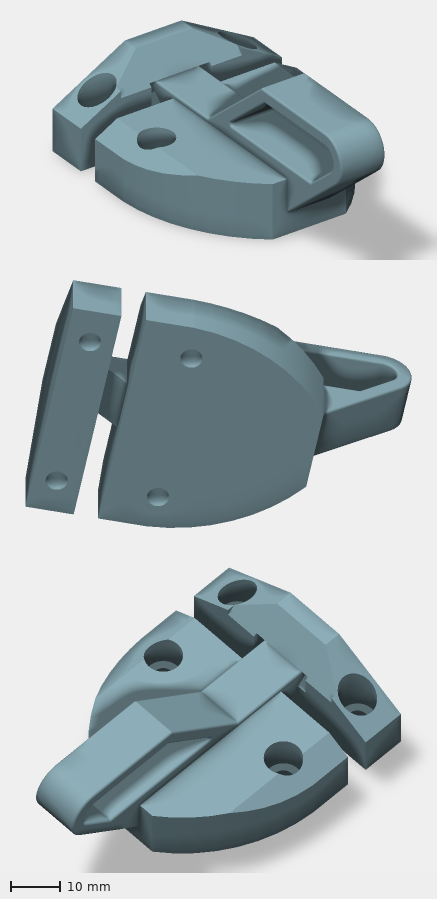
import cadquery as cq
import math


half_width = 25.0
side_height = 10.0
keeper_height = 20.0
keeper_top_half = 7.0
base_height = 13.0
hole_diameter = 4.5
counterbore_diameter = 8.0
counterbore_floor = 5.0
hole_y = 17.5

keeper_length = 10.0
keeper_hole_x = keeper_length / 2
bevel_start = 3.85
bevel_half_width = 15.0
pocket_half_width = 7.5
pocket_clearance = 0.5

base_start = 15.0
base_end = 55.0
base_hole_x = 26.0
arc_start = 25.0
arc_radius = 40.0
end_half_width = 9.1

overall_length = 74.0
overall_height = 30.0
latch_width = 11.0
latch_floor = counterbore_floor
deck_height = 14.0
ramp_start = 27.0
end_radius = 6.0
wall = 3.0
window_floor = 16.0
edge_radius = 0.5
position_tolerance = 0.1

end_center_x = overall_length - end_radius
end_center_z = overall_height - end_radius
rise = end_center_z - latch_floor
run = end_center_x - base_end
slope = math.atan2(rise, run) - math.asin(end_radius / math.hypot(rise, run))
ramp_end = ramp_start + (overall_height - deck_height) / math.tan(slope)

tongue_tip = base_start - (deck_height - latch_floor)


def ridge_block(x_start, x_end, height):
    """Straight block with the common cross-section: vertical sides, sloped shoulders, flat top."""
    shoulder_slope = (keeper_height - side_height) / (half_width - keeper_top_half)
    top_half = half_width - (height - side_height) / shoulder_slope
    return (
        cq.Workplane("YZ", origin=(x_start, 0, 0))
        .moveTo(-half_width, 0)
        .lineTo(half_width, 0)
        .lineTo(half_width, side_height)
        .lineTo(top_half, height)
        .lineTo(-top_half, height)
        .lineTo(-half_width, side_height)
        .close()
        .extrude(x_end - x_start)
    )


def box_between(x_start, x_end, half_y, z_start, z_end):
    """Box symmetric about Y = 0."""
    size = (x_end - x_start, 2 * half_y, z_end - z_start)
    return cq.Workplane("XY", origin=(x_start, 0, z_start)).box(*size, centered=(False, True, False))


def screw_holes(x):
    """Cutters for the pair of counterbored screw holes at one X position."""
    places = [(x, -hole_y), (x, hole_y)]
    shafts = cq.Workplane("XY").pushPoints(places).circle(hole_diameter / 2).extrude(keeper_height)
    heads = (
        cq.Workplane("XY", origin=(0, 0, counterbore_floor))
        .pushPoints(places)
        .circle(counterbore_diameter / 2)
        .extrude(keeper_height)
    )
    return shafts.union(heads)


def side_profile(half_y):
    """Workplane for an XZ outline to be extruded by 2 * half_y, symmetric about Y = 0."""
    return cq.Workplane("XZ", origin=(0, half_y, 0))


def make_keeper():
    block = ridge_block(0, keeper_length, keeper_height)
    bevel_drop = keeper_length - bevel_start
    bevel = (
        side_profile(bevel_half_width)
        .moveTo(bevel_start, keeper_height)
        .lineTo(keeper_length, keeper_height - bevel_drop)
        .lineTo(keeper_length, keeper_height)
        .close()
        .extrude(2 * bevel_half_width)
    )
    pocket = box_between(
        tongue_tip - pocket_clearance,
        keeper_length,
        pocket_half_width,
        side_height - pocket_clearance,
        deck_height + pocket_clearance,
    )
    return block.cut(bevel).cut(pocket).cut(screw_holes(keeper_hole_x))


def make_base():
    outline = (
        cq.Workplane("XY")
        .moveTo(base_start, -half_width)
        .lineTo(arc_start, -half_width)
        .radiusArc((base_end, -end_half_width), -arc_radius)
        .lineTo(base_end, end_half_width)
        .radiusArc((arc_start, half_width), -arc_radius)
        .lineTo(base_start, half_width)
        .close()
        .extrude(base_height)
    )
    slot = box_between(base_start, base_end, latch_width / 2, latch_floor, base_height)
    block = ridge_block(base_start, base_end, base_height).intersect(outline)
    return block.cut(slot).cut(screw_holes(base_hole_x))


def on_end_arc(radius, angle):
    """Point of a circle around the centre of the rounded handle end."""
    return (end_center_x + radius * math.cos(angle), end_center_z + radius * math.sin(angle))


def corners_between(solid, x_start, x_end):
    """Edges along Y whose X position lies in the given range, ends included."""
    return [
        edge
        for edge in solid.edges("|Y").vals()
        if x_start - position_tolerance < edge.Center().x < x_end + position_tolerance
    ]


def make_latch():
    arc_finish = slope - math.pi / 2
    arc_middle = (arc_finish + math.pi / 2) / 2

    body = (
        side_profile(latch_width / 2)
        .moveTo(tongue_tip, deck_height)
        .lineTo(ramp_start, deck_height)
        .lineTo(ramp_end, overall_height)
        .lineTo(end_center_x, overall_height)
        .threePointArc(on_end_arc(end_radius, arc_middle), on_end_arc(end_radius, arc_finish))
        .lineTo(base_end, latch_floor)
        .lineTo(base_start, latch_floor)
        .close()
        .extrude(latch_width)
    )
    handle_corners = corners_between(body, ramp_start, ramp_end)
    body = body.newObject(handle_corners).fillet(edge_radius)

    inner_radius = end_radius - wall
    window_top = overall_height - wall
    wall_along_x = wall / math.sin(slope)
    window_left = ramp_start + (window_floor - deck_height) / math.tan(slope) + wall_along_x
    window_top_left = ramp_end - wall / math.tan(slope) + wall_along_x
    window_right = base_end + (window_floor - latch_floor) / math.tan(slope) - wall_along_x
    window = (
        side_profile(latch_width / 2)
        .moveTo(window_left, window_floor)
        .lineTo(window_top_left, window_top)
        .lineTo(end_center_x, window_top)
        .threePointArc(on_end_arc(inner_radius, arc_middle), on_end_arc(inner_radius, arc_finish))
        .lineTo(window_right, window_floor)
        .close()
        .extrude(latch_width)
    )
    window_corners = corners_between(window, window_left, window_right)
    window = window.newObject(window_corners).fillet(edge_radius)
    body = body.cut(window)

    underside_middles = [(base_start + base_end) / 2, (tongue_tip + base_start) / 2]
    rims = [
        edge
        for edge in body.faces("<Y or >Y").edges().vals()
        if all(abs(edge.Center().x - middle) > position_tolerance for middle in underside_middles)
    ]
    return body.newObject(rims).fillet(edge_radius)


keeper = make_keeper()
base = make_base()
latch = make_latch()
result = cq.Compound.makeCompound([keeper.solids().val(), base.solids().val(), latch.solids().val()])